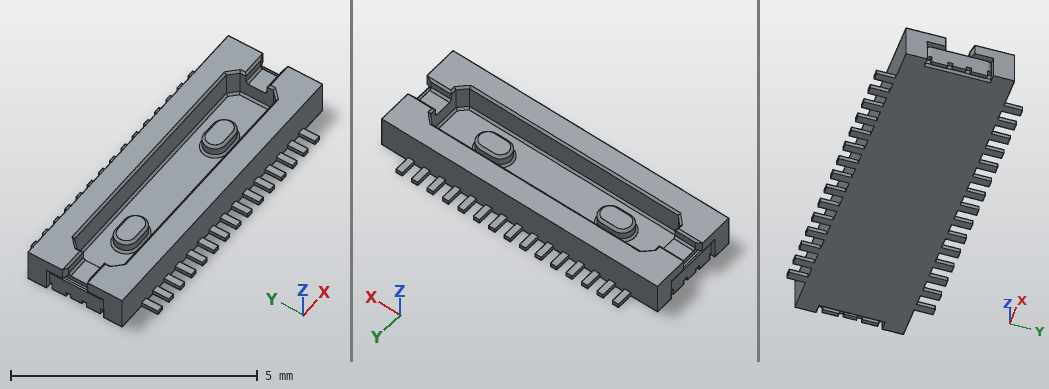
import cadquery as cq

LENGTH = 7.14
WIDTH = 2.32
HEIGHT = 0.80
EDGE = 0.05
SLOPE = 45

CAVITY_LENGTH = 5.80
CAVITY_WIDTH = 1.22
CAVITY_CORNER = 0.20
CAVITY_FLOOR = 0.15

SLOT_WIDTH = 0.52
SLOT_FLOOR = 0.54
LEAD_IN = 0.15

BOSS_SPACING = 3.16
BOSS_LENGTH = 0.855
BOSS_WIDTH = 0.535
BOSS_TOP = 0.43
BOSS_TOP_CHAMFER = 0.06

POCKET_WIDTH = 1.41
POCKET_DEPTH = 0.15
POCKET_FOOT_CHAMFER = 0.05
PLATE_RECESS = 0.04
PLATE_THICKNESS = 0.08
PLATE_TOP = 0.485
PLATE_TOP_CHAMFER = 0.03
WING_BOTTOM = 0.15
NOTCH_SPAN = 0.50
NOTCH_TOP = 0.11
TONGUE_WIDTH = 0.28
TONGUE_BOTTOM = 0.025

TAIL_COUNT = 15
TAIL_PITCH = 0.40
TAIL_WIDTH = 0.16
TAIL_THICKNESS = 0.10
TAIL_SPAN = 3.12
TAIL_ROOT = 0.10

END_X = -LENGTH / 2
POCKET_WALL_X = END_X + POCKET_DEPTH
PLATE_FRONT_X = END_X + PLATE_RECESS
BEND_RADIUS = POCKET_DEPTH - PLATE_RECESS


def block(x_min, x_max, width, z_min, z_max):
    """Box between two X and two Z limits, centred on Y = 0."""
    box = cq.Workplane("XY").box(x_max - x_min, width, z_max - z_min, centered=(False, True, False))
    return box.translate((x_min, 0, z_min))


def both_ends(shape):
    """The given shape together with its mirror image at the +X end."""
    return shape.union(shape.mirror("YZ"))


def frustum(profile, z, height, taper):
    """Extrude a sketch upward from height z; positive taper (degrees) leans the sides inward."""
    return cq.Workplane("XY", origin=(0, 0, z)).placeSketch(profile).extrude(height, taper=taper)


def cavity():
    """Octagonal cavity with a chamfered rim and a sloped foot."""
    outline = cq.Sketch().rect(CAVITY_LENGTH, CAVITY_WIDTH).vertices().chamfer(CAVITY_CORNER)
    walls = frustum(outline, CAVITY_FLOOR, HEIGHT - CAVITY_FLOOR, 0).faces("<Z").chamfer(EDGE)
    rim = frustum(outline, HEIGHT - EDGE, EDGE, -SLOPE)
    return walls.union(rim)


def end_slot():
    """Slot with chamfered top and foot edges and a flared mouth."""
    half = SLOT_WIDTH / 2
    right_side = [
        (half - EDGE, SLOT_FLOOR),
        (half, SLOT_FLOOR + EDGE),
        (half, HEIGHT - EDGE),
        (half + EDGE, HEIGHT),
    ]
    left_side = [(-y, z) for y, z in reversed(right_side)]
    slot = cq.Workplane("YZ", origin=(END_X, 0, 0)).polyline(right_side + left_side).close().extrude(-END_X)
    mouth = (
        cq.Workplane("XY", origin=(0, 0, SLOT_FLOOR))
        .moveTo(END_X, half + EDGE)
        .lineTo(END_X + LEAD_IN, half)
        .lineTo(END_X + LEAD_IN, -half)
        .lineTo(END_X, -half - EDGE)
        .close()
        .extrude(HEIGHT - SLOT_FLOOR)
    )
    return slot.union(mouth)


def end_pocket():
    """Pocket open to the end face and the underside, its back wall chamfered at the foot."""
    half = POCKET_WIDTH / 2
    profile = [
        (END_X, 0),
        (POCKET_WALL_X + POCKET_FOOT_CHAMFER, 0),
        (POCKET_WALL_X, POCKET_FOOT_CHAMFER),
        (POCKET_WALL_X, SLOT_FLOOR),
        (END_X, SLOT_FLOOR),
    ]
    return cq.Workplane("XZ", origin=(0, half, 0)).polyline(profile).close().extrude(POCKET_WIDTH)


def end_plate():
    """Plate whose side wings bend back to the pocket wall, with two notches beside a bottom tongue."""
    outer = block(PLATE_FRONT_X, POCKET_WALL_X + BEND_RADIUS, POCKET_WIDTH, 0, PLATE_TOP)
    outer = outer.edges("|Z and <X").fillet(BEND_RADIUS)
    outer = outer.faces(">Z").edges("<X").chamfer(PLATE_TOP_CHAMFER)
    inner_width = POCKET_WIDTH - 2 * PLATE_THICKNESS
    inner = block(PLATE_FRONT_X + PLATE_THICKNESS, POCKET_WALL_X + BEND_RADIUS, inner_width, 0, PLATE_TOP)
    inner = inner.edges("|Z and <X").fillet(BEND_RADIUS - PLATE_THICKNESS)
    plate = outer.cut(inner).intersect(block(END_X, POCKET_WALL_X, POCKET_WIDTH, 0, PLATE_TOP))

    flat_width = POCKET_WIDTH - 2 * BEND_RADIUS
    below_wings = block(END_X, POCKET_WALL_X, POCKET_WIDTH, 0, WING_BOTTOM)
    below_wings = below_wings.cut(block(END_X, POCKET_WALL_X, flat_width, 0, WING_BOTTOM))
    notches = block(END_X, POCKET_WALL_X, NOTCH_SPAN, 0, NOTCH_TOP)
    notches = notches.cut(block(END_X, POCKET_WALL_X, TONGUE_WIDTH, TONGUE_BOTTOM, NOTCH_TOP))
    return plate.cut(below_wings).cut(notches)


def bosses():
    """Two rounded bosses with sloped bases and chamfered tops."""
    outline = cq.Sketch().slot(BOSS_LENGTH - BOSS_WIDTH, BOSS_WIDTH)
    foot = cq.Sketch().slot(BOSS_LENGTH - BOSS_WIDTH, BOSS_WIDTH + 2 * EDGE)
    stem = frustum(outline, CAVITY_FLOOR, BOSS_TOP - CAVITY_FLOOR, 0)
    stem = stem.faces(">Z").chamfer(BOSS_TOP_CHAMFER)
    boss = stem.union(frustum(foot, CAVITY_FLOOR, EDGE, SLOPE))
    return both_ends(boss.translate((-BOSS_SPACING / 2, 0, 0)))


def tails():
    """Two rows of flat contact tails at the foot of the long sides."""
    tail_length = (TAIL_SPAN - WIDTH) / 2 + TAIL_ROOT
    row_y = (TAIL_SPAN - tail_length) / 2
    first_x = -TAIL_PITCH * (TAIL_COUNT - 1) / 2
    places = [(first_x + i * TAIL_PITCH, side * row_y) for i in range(TAIL_COUNT) for side in (-1, 1)]
    return (
        cq.Workplane("XY")
        .pushPoints(places)
        .box(TAIL_WIDTH, tail_length, TAIL_THICKNESS, centered=(True, True, False))
    )


housing = block(END_X, -END_X, WIDTH, 0, HEIGHT)
housing = housing.cut(cavity()).cut(both_ends(end_slot())).cut(both_ends(end_pocket()))
result = housing.union(both_ends(end_plate())).union(bosses()).union(tails())